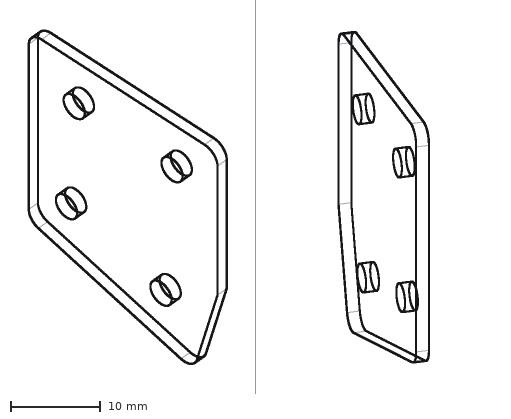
import cadquery as cq
import math

width = 29.0
height = 34.92
thickness = 1.5
corner_radius = 2.0
tilt = math.radians(15)
right_side_length = 21.58
hole_diameter = 3.25
hole_spacing = 15.0
upper_hole_inset = 7.0
lower_hole_inset = 5.8
lower_hole_depth = 22.95

sin_tilt = math.sin(tilt)
cos_tilt = math.cos(tilt)

corner_trim = corner_radius * (sin_tilt + cos_tilt - 1)
left_side_length = (
    height + corner_trim - width * cos_tilt * sin_tilt - right_side_length * sin_tilt**2
) / cos_tilt**2

bottom_length = width * cos_tilt - (left_side_length - right_side_length) * sin_tilt
tip_x = bottom_length * cos_tilt
tip_z = -left_side_length - bottom_length * sin_tilt


def hole_pair(x, z, angle):
    """Centres of two holes, the second offset downward by the given angle."""
    second_x = x + hole_spacing * math.cos(angle)
    second_z = z - hole_spacing * math.sin(angle)
    return [(x, z), (second_x, second_z)]


plate = (
    cq.Workplane("XZ")
    .polyline([(0, 0), (width, 0), (width, -right_side_length), (tip_x, tip_z), (0, -left_side_length)])
    .close()
    .extrude(-thickness)
)

bend_point = (width, thickness / 2, -right_side_length)
bend_edge = cq.selectors.NearestToPointSelector(bend_point)
corner_edges = cq.selectors.ParallelDirSelector(cq.Vector(0, 1, 0))
plate = plate.edges(corner_edges - bend_edge).fillet(corner_radius)

hole_centres = hole_pair(upper_hole_inset, -upper_hole_inset, 0)
hole_centres += hole_pair(lower_hole_inset, -lower_hole_depth, tilt)
holes = (
    cq.Workplane("XZ")
    .pushPoints(hole_centres)
    .circle(hole_diameter / 2)
    .extrude(-thickness)
)

result = plate.cut(holes)